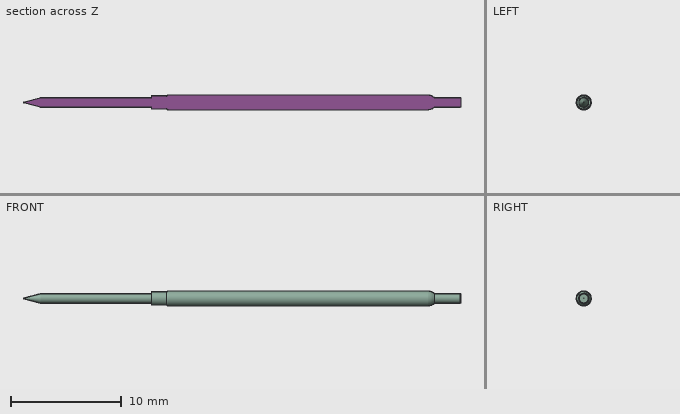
import cadquery as cq
import math

total_length = 39.62
barrel_diameter = 1.37

plunger_diameter = 0.89
tip_flat_diameter = 0.05
point_length = 1.58
plunger_length = 11.58

collar_diameter = 1.22
collar_length = 1.36

front_rounding = 0.2
shoulder_rounding = 0.72
shoulder_turn = math.radians(30)
shoulder_cone_length = 0.22

tail_diameter = 0.89
tail_length = 2.42
tail_chamfer_length = 0.1
tail_chamfer_depth = 0.04

tip_x = -total_length / 2
tail_end_x = total_length / 2
point_base_x = tip_x + point_length
collar_front_x = tip_x + plunger_length
barrel_front_x = collar_front_x + collar_length
shoulder_end_x = tail_end_x - tail_length
shoulder_start_x = shoulder_end_x - shoulder_cone_length - shoulder_rounding * math.sin(shoulder_turn)


def revolve_about_axis(outline):
    """Spin a closed outline, drawn as (x, radius), about the X axis."""
    return outline.close().revolve(360, (0, 0, 0), (1, 0, 0))


def make_plunger():
    radius = plunger_diameter / 2
    outline = (
        cq.Workplane("XZ")
        .moveTo(tip_x, 0)
        .lineTo(tip_x, tip_flat_diameter / 2)
        .lineTo(point_base_x, radius)
        .lineTo(barrel_front_x, radius)
        .lineTo(barrel_front_x, 0)
    )
    return revolve_about_axis(outline)


def make_collar():
    radius = collar_diameter / 2
    outline = (
        cq.Workplane("XZ")
        .moveTo(collar_front_x, 0)
        .lineTo(collar_front_x, radius)
        .lineTo(barrel_front_x, radius)
        .lineTo(barrel_front_x, 0)
    )
    return revolve_about_axis(outline)


def shoulder_point(turn):
    """Point on the shoulder rounding where the surface has turned inward by the given angle."""
    x = shoulder_start_x + shoulder_rounding * math.sin(turn)
    return (x, barrel_diameter / 2 - shoulder_rounding * (1 - math.cos(turn)))


def make_barrel():
    radius = barrel_diameter / 2
    front_middle = front_rounding * (1 - math.sqrt(0.5))
    cone_end_radius = shoulder_point(shoulder_turn)[1] - shoulder_cone_length * math.tan(shoulder_turn)
    outline = (
        cq.Workplane("XZ")
        .moveTo(barrel_front_x, 0)
        .lineTo(barrel_front_x, radius - front_rounding)
        .threePointArc(
            (barrel_front_x + front_middle, radius - front_middle),
            (barrel_front_x + front_rounding, radius),
        )
        .lineTo(*shoulder_point(0))
        .threePointArc(shoulder_point(shoulder_turn / 2), shoulder_point(shoulder_turn))
        .lineTo(shoulder_end_x, cone_end_radius)
        .lineTo(shoulder_end_x, 0)
    )
    return revolve_about_axis(outline)


def make_tail():
    radius = tail_diameter / 2
    outline = (
        cq.Workplane("XZ")
        .moveTo(shoulder_end_x, 0)
        .lineTo(shoulder_end_x, radius)
        .lineTo(tail_end_x - tail_chamfer_length, radius)
        .lineTo(tail_end_x, radius - tail_chamfer_depth)
        .lineTo(tail_end_x, 0)
    )
    return revolve_about_axis(outline)


result = make_plunger().union(make_collar()).union(make_barrel()).union(make_tail())